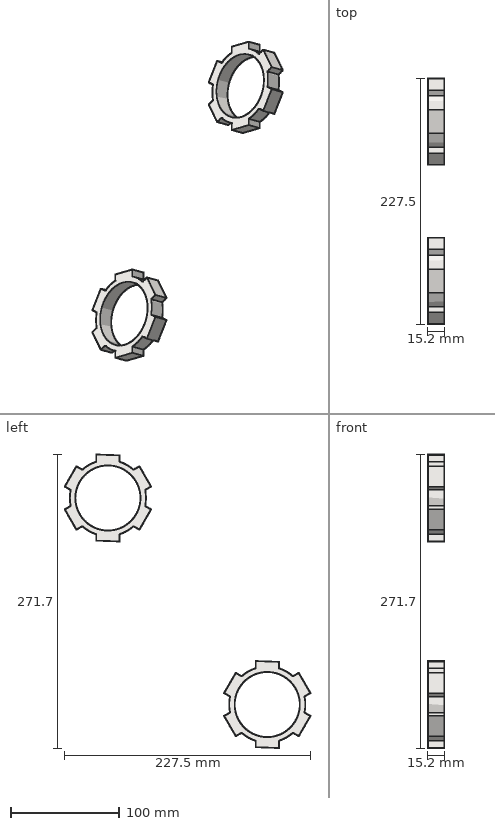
import cadquery as cq
import math

thickness = 15.2
overall_y = 227.5
overall_z = 271.7
bore_diameter = 60.0
rim_diameter = 70.6
tooth_count = 6
tooth_width = 21.7
tip_height = 40.0
tip_slant = 0.8

tooth_incline = math.radians(90 - 360 / tooth_count)
ring_size_y = 2 * tip_height * math.cos(tooth_incline) + tooth_width * math.sin(tooth_incline)

centre_y = (overall_y - ring_size_y) / 2
centre_z = overall_z / 2 - (tip_height + tip_slant / 2)
ring_centres = [(-centre_y, -centre_z), (centre_y, centre_z)]


def make_tooth(index):
    """Straight-sided tooth; the top and bottom teeth have a slightly slanted tip."""
    is_vertical = index % (tooth_count // 2) == 0
    rise = tip_slant / 2 if is_vertical else 0
    half_width = tooth_width / 2
    return (
        cq.Workplane("YZ")
        .polyline([
            (-half_width, 0),
            (half_width, 0),
            (half_width, tip_height + rise),
            (-half_width, tip_height - rise),
        ])
        .close()
        .extrude(thickness)
        .rotate((0, 0, 0), (1, 0, 0), index * 360 / tooth_count)
    )


def make_toothed_ring(y, z):
    """Ring about an X axis with flat-tipped outer teeth."""
    ring = cq.Workplane("YZ").circle(rim_diameter / 2).extrude(thickness)
    for index in range(tooth_count):
        ring = ring.union(make_tooth(index))
    bore = cq.Workplane("YZ").circle(bore_diameter / 2).extrude(thickness)
    return ring.cut(bore).translate((-thickness / 2, y, z))


toothed_rings = [make_toothed_ring(y, z) for y, z in ring_centres]

result = cq.Compound.makeCompound([ring.val() for ring in toothed_rings])